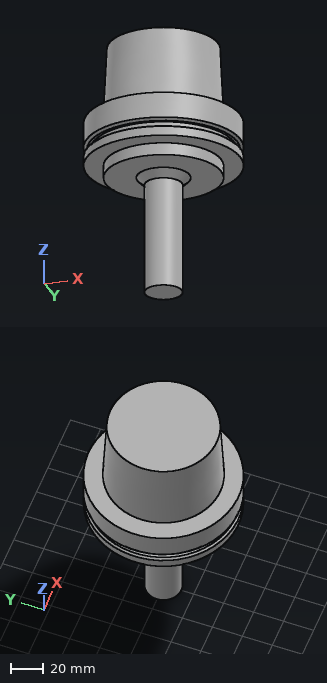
import cadquery as cq


taper_height = 50.0
taper_base_diameter = 75.8
taper_base_height = 2.0
taper_ratio = 1 / 10

flange_diameter = 100.0
flange_height = 29.0
groove_diameter = 92.0
groove_top_depth = 18.3
groove_width = 3.7
upper_rim_chamfer_width = 2.0
upper_rim_chamfer_height = 1.5
lower_rim_chamfer_width = 1.75
lower_rim_chamfer_height = 1.0

boss_diameter = 75.0
boss_height = 8.0
pin_diameter = 24.0
neck_height = 5.0
neck_flare = 5.0
overall_height = 164.5

boss_bottom = -flange_height - boss_height
pin_bottom = taper_height - overall_height


def make_taper():
    cone_height = taper_height - taper_base_height
    base_radius = taper_base_diameter / 2
    top_radius = base_radius - cone_height * taper_ratio / 2
    profile = (
        cq.Workplane("YZ")
        .lineTo(base_radius, 0)
        .lineTo(base_radius, taper_base_height)
        .lineTo(top_radius, taper_height)
        .lineTo(0, taper_height)
        .close()
    )
    return profile.revolve()


def make_flange():
    groove_bottom_depth = groove_top_depth + groove_width
    upper_rim = (
        cq.Workplane("XY")
        .circle(flange_diameter / 2)
        .extrude(-groove_top_depth)
        .faces("<Z")
        .chamfer(upper_rim_chamfer_height, upper_rim_chamfer_width)
    )
    lower_rim = (
        cq.Workplane("XY", origin=(0, 0, -flange_height))
        .circle(flange_diameter / 2)
        .extrude(flange_height - groove_bottom_depth)
        .faces(">Z")
        .chamfer(lower_rim_chamfer_height, lower_rim_chamfer_width)
    )
    core = cq.Workplane("XY").circle(groove_diameter / 2).extrude(-flange_height)
    return core.union(upper_rim).union(lower_rim)


def make_boss():
    boss = cq.Workplane("XY", origin=(0, 0, boss_bottom))
    return boss.circle(boss_diameter / 2).extrude(boss_height)


def make_pin():
    pin_radius = pin_diameter / 2
    profile = (
        cq.Workplane("YZ", origin=(0, 0, boss_bottom))
        .lineTo(pin_radius + neck_flare, 0)
        .lineTo(pin_radius, -neck_height)
        .lineTo(pin_radius, pin_bottom - boss_bottom)
        .lineTo(0, pin_bottom - boss_bottom)
        .close()
    )
    return profile.revolve()


result = make_taper().union(make_flange()).union(make_boss()).union(make_pin())